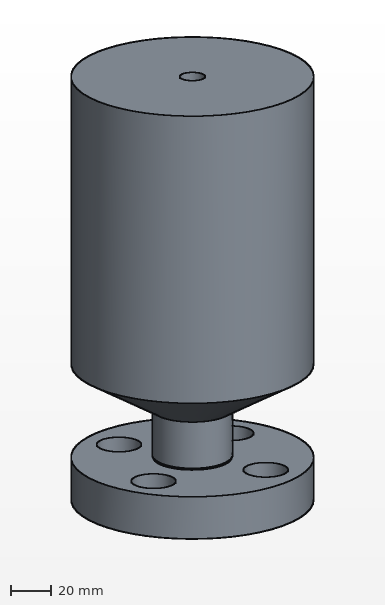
import cadquery as cq

total_height = 222.2
outer_diameter = 120.7

flange_thickness = 22.2
neck_height = 25.3
cone_height = 23.8

neck_diameter = 40.0
bore_diameter = 12.7

relief_depth = 0.5
relief_height = 1.0

bolt_hole_count = 4
bolt_hole_diameter = 22.2
bolt_circle_diameter = 82.5

outer_radius = outer_diameter / 2
neck_radius = neck_diameter / 2
relief_radius = neck_radius - relief_depth
relief_top = flange_thickness + relief_height
cone_bottom = flange_thickness + neck_height
cone_top = cone_bottom + cone_height


def make_turned_body():
    """Flange, neck, cone and cylinder revolved about Z from one half profile."""
    return (
        cq.Workplane("XZ")
        .moveTo(0, 0)
        .lineTo(outer_radius, 0)
        .lineTo(outer_radius, flange_thickness)
        .lineTo(relief_radius, flange_thickness)
        .lineTo(relief_radius, relief_top)
        .lineTo(neck_radius, relief_top)
        .lineTo(neck_radius, cone_bottom)
        .lineTo(outer_radius, cone_top)
        .lineTo(outer_radius, total_height)
        .lineTo(0, total_height)
        .close()
        .revolve(360, (0, 0), (0, 1))
    )


def make_bore():
    """Central hole through the full height."""
    return cq.Workplane("XY").circle(bore_diameter / 2).extrude(total_height)


def make_bolt_holes():
    """Plain holes through the flange only."""
    return (
        cq.Workplane("XY")
        .polarArray(bolt_circle_diameter / 2, 0, 360, bolt_hole_count)
        .circle(bolt_hole_diameter / 2)
        .extrude(flange_thickness)
    )


result = make_turned_body().cut(make_bore()).cut(make_bolt_holes())